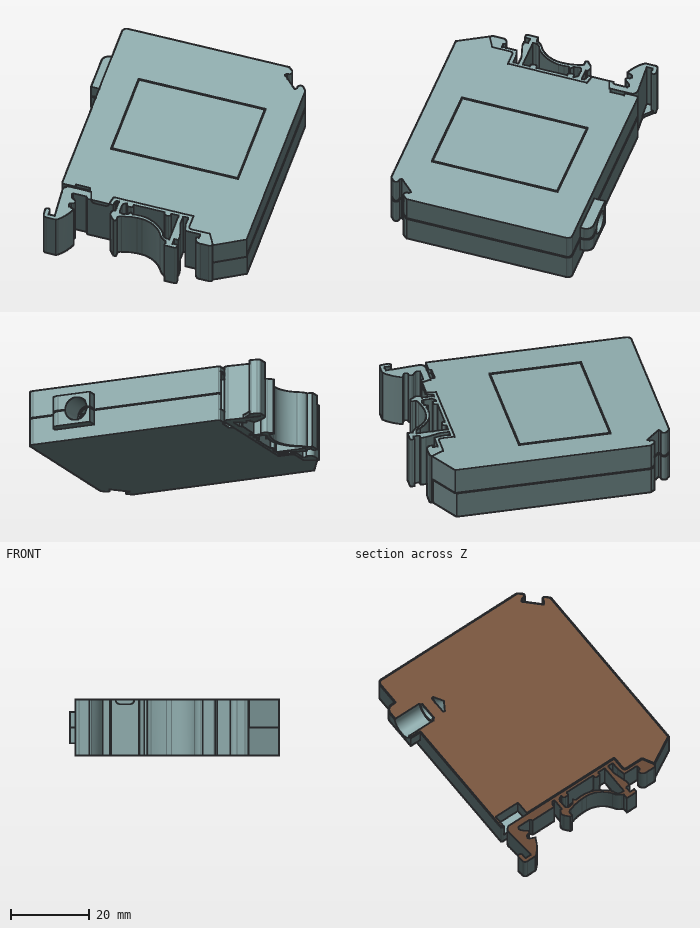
import cadquery as cq
import math


height = 65.6
depth = 14.35
mid_z = depth / 2
housing_width = 50.6
housing_bottom_y = 11.9
seat_y = 11.4
top_corner_radius = 1.25
bottom_corner_radius = 0.4

step_x = 35.35
step_y = 7.1
step_radius = 0.8
ramp_top_x = 41.05
tip_x = 42.9
tip_y = 3.7
slope_top_y = 8.0
ramp_slope = (step_y - tip_y) / (tip_x - ramp_top_x)
lower_slope_inset = 0.3

slot_left_x = 3.6
slot_right_x = 7.55
slot_roof_y = 12.6
slot_end_radius = 0.5
pocket_left_x = 0.85
pocket_right_x = 7.8
pocket_bottom_z = 3.1
pocket_top_z = 13.25
pocket_end_y = 15.4

tongue_top_left_x = 8.0
tongue_bottom_left_x = 8.8
tongue_bottom_right_x = 13.5
tongue_top_right_x = 14.05
tongue_bottom_y = 8.9
tongue_depth = 1.2
tongue_radius = 1.05

hook_top = (44.35, height)
hook_shoulder = (45.25, 64.8)
hook_nose = (45.6, 63.9)
hook_underside = (44.95, 63.3)
hook_throat = (44.55, 63.3)
hook_root = (44.0, 62.85)

boss_length = 2.95
boss_bottom_y = 47.05
boss_top_y = 58.05
boss_thickness = 8.0
boss_radius = 2.05
hole_y = 50.9
hole_diameter = 6.05
hole_depth = 7.9
inner_diameter = 5.0
inner_depth = 3.95
drill_point_angle = 118.0
bar_diameter = 3.0

groove_width = 0.2
groove_depth = 0.2
frame_left_x = 8.65
frame_right_x = 42.65
frame_bottom_y = 26.6
frame_top_y = 50.65

roof_y = 10.5

arm_left_x = 0.65
arm_corner_radius = 1.45
arm_shelf_y = 9.6
hook_wall_x = 1.4
hook_slot_left_x = -0.25
hook_slot_floor_y = 1.15
hook_lip_y = 3.0
hook_lip_base_y = 2.35
hook_lip_left_x = -1.6
hook_heel_x = -1.4
hook_heel_radius = 0.85
hook_toe = (2.05, 0)
hook_tooth = (5.45, 4.6)
web_top_y = 5.7
web_low = (-1.05, 2.95)
web_height = 0.9

block_left_x = 7.7
block_right_x = 14.6
block_flare = 0.2
block_round = 0.45

post_left_x = 15.75
post_right_x = 16.85
post_shoulder_y = 7.35
strut_left_x = 31.7
strut_right_x = 32.85
toe_left_x = 31.0
toe_right_x = 34.25
toe_top_y = 1.15
toe_radius = 0.4
barb_tip_y = 4.1
barb_tip_left_x = 16.15
barb_tip_right_x = 16.5
arch_left_bottom_y = 5.4
arch_left_top_y = 7.5
arch_right_bottom_y = 1.4
arch_right_top_y = 2.3
crown_left_x = 21.65
crown_right_x = 23.0
crown_bottom_y = 6.6
crown_top_y = 7.55
tooth = [(18.95, 6.95), (19.75, 8.0), (20.5, 7.2)]
wedge_bottom_y = 2.75
wedge_tip_x = 34.0
wedge_tip_y = 4.1
wedge_top_y = 8.0

stop_left_xs = [18.0, 28.0]
stop_width = 1.7
stop_bottom_y = 9.6
stop_radius = 0.5

leg_left_x = 34.25
leg_bottom_left_x = 34.7
leg_knee_y = 8.45
claw_shelf_y = 6.15
claw_neck_x = 38.8
claw_nose = (38.1, 5.0)
claw_left_x = 39.7
claw_right_x = 41.8
claw_tip_x = 42.7
claw_tip_y = 3.6
claw_bottom_y = 3.2


def extrude(outline, thickness=depth):
    return outline.close().extrude(thickness)


def polygon(points, thickness=depth):
    return extrude(cq.Workplane("XY").polyline(points), thickness)


def rectangle_between(left, bottom, right, top, z, thickness):
    """Box with its lower left corner at (left, bottom) and its underside at z."""
    block = cq.Workplane("XY").box(right - left, top - bottom, thickness, centered=False)
    return block.translate((left, bottom, z))


def round_corner(body, x, y, radius):
    """Fillet the upright edge at (x, y)."""
    corner = cq.selectors.NearestToPointSelector((x, y, mid_z))
    return body.edges("|Z").edges(corner).fillet(radius)


def across_corner(point):
    """Mirror a point about the diagonal of the top right corner."""
    shift = height - housing_width
    x, y = point
    return (y - shift, x + shift)


def housing_plate(slope_inset, thickness):
    """Housing outline without the tongue, its slope set back by slope_inset."""
    slope_angle = math.atan2(slope_top_y - tip_y, housing_width - tip_x)
    rise = slope_inset / math.cos(slope_angle)
    shift_x = rise / (ramp_slope + math.tan(slope_angle))
    tip = (tip_x - shift_x, tip_y + ramp_slope * shift_x)
    return extrude(
        cq.Workplane("XY")
        .moveTo(0, housing_bottom_y)
        .lineTo(slot_left_x, housing_bottom_y)
        .lineTo(slot_left_x, slot_roof_y)
        .lineTo(slot_right_x, slot_roof_y)
        .lineTo(slot_right_x, seat_y)
        .lineTo(step_x, seat_y)
        .lineTo(step_x, step_y)
        .lineTo(ramp_top_x, step_y)
        .lineTo(*tip)
        .lineTo(housing_width, slope_top_y + rise)
        .lineTo(*across_corner(hook_top))
        .lineTo(*across_corner(hook_shoulder))
        .threePointArc(across_corner(hook_nose), across_corner(hook_underside))
        .lineTo(*across_corner(hook_throat))
        .lineTo(*across_corner(hook_root))
        .lineTo(*hook_root)
        .lineTo(*hook_throat)
        .lineTo(*hook_underside)
        .threePointArc(hook_nose, hook_shoulder)
        .lineTo(*hook_top)
        .lineTo(0, height),
        thickness,
    )


def housing_shell():
    lower = housing_plate(lower_slope_inset, mid_z)
    upper = housing_plate(0, depth - mid_z).translate((0, 0, mid_z))
    shell = lower.union(upper)
    shell = round_corner(shell, 0, height, top_corner_radius)
    shell = round_corner(shell, 0, housing_bottom_y, bottom_corner_radius)
    shell = round_corner(shell, slot_left_x, housing_bottom_y, bottom_corner_radius)
    shell = round_corner(shell, slot_right_x, slot_roof_y, slot_end_radius)
    return round_corner(shell, step_x, step_y, step_radius)


def tongue():
    """Tapered tongue at the top face, its two long lower edges rounded."""
    block = polygon(
        [
            (tongue_top_left_x, seat_y),
            (tongue_bottom_left_x, tongue_bottom_y),
            (tongue_bottom_right_x, tongue_bottom_y),
            (tongue_top_right_x, seat_y),
        ],
        tongue_depth,
    )
    block = block.edges("<Z").edges("not |X").fillet(tongue_radius)
    return block.translate((0, 0, depth - tongue_depth))


def boss():
    """Block on the left wall, sunk into it by its own length to join the housing."""
    block = rectangle_between(
        -boss_length, boss_bottom_y, boss_length, boss_top_y, mid_z - boss_thickness / 2, boss_thickness
    )
    return round_corner(block, -boss_length, boss_top_y, boss_radius)


def terminal_hole():
    """Stepped hole along X with a drill point, minus the bar that stays across it."""
    hole_radius = hole_diameter / 2
    inner_radius = inner_diameter / 2
    cone_at = hole_depth + inner_depth
    point_length = inner_radius / math.tan(math.radians(drill_point_angle / 2))
    drill = (
        cq.Workplane("XY")
        .polyline(
            [
                (0, 0),
                (0, hole_radius),
                (hole_depth, hole_radius),
                (hole_depth, inner_radius),
                (cone_at, inner_radius),
                (cone_at + point_length, 0),
            ]
        )
        .close()
        .revolve(360, (0, 0), (1, 0))
    )
    bar = (
        cq.Workplane("XZ")
        .center(hole_depth + inner_depth / 2, 0)
        .circle(bar_diameter / 2)
        .extrude(hole_radius, both=True)
    )
    return drill.cut(bar).translate((-boss_length, hole_y, mid_z))


def label_frame():
    """Rectangular groove in the top face."""
    floor_z = depth - groove_depth
    outer = rectangle_between(
        frame_left_x, frame_bottom_y, frame_right_x, frame_top_y, floor_z, groove_depth
    )
    inner = rectangle_between(
        frame_left_x + groove_width,
        frame_bottom_y + groove_width,
        frame_right_x - groove_width,
        frame_top_y - groove_width,
        floor_z,
        groove_depth,
    )
    return outer.cut(inner)


def seam_groove(body):
    """Shallow groove at mid height, following the outline of the body."""
    band_z = mid_z - groove_width / 2
    slab = rectangle_between(-boss_length, 0, housing_width, height, band_z, groove_width)
    band = body.intersect(slab)
    inset_outline = band.faces("<Z").wires().val().offset2D(-groove_depth)[0]
    core = cq.Solid.extrudeLinear(inset_outline, [], cq.Vector(0, 0, groove_width))
    return band.cut(cq.Workplane(core))


def slot_pocket():
    """Pocket behind the slot, open on the housing's lower edge."""
    return rectangle_between(
        pocket_left_x, seat_y, pocket_right_x, pocket_end_y, pocket_bottom_z, pocket_top_z - pocket_bottom_z
    )


def make_housing():
    body = housing_shell().union(boss())
    body = body.cut(seam_groove(body)).union(tongue())
    return body.cut(terminal_hole()).cut(label_frame()).cut(slot_pocket())


def hook_arm():
    """Left arm: a shelf, a drafted wall and the toothed hook with its slot."""
    arm = extrude(
        cq.Workplane("XY")
        .moveTo(block_left_x, seat_y)
        .lineTo(arm_left_x, seat_y)
        .lineTo(hook_wall_x, hook_slot_floor_y)
        .lineTo(hook_slot_left_x, hook_slot_floor_y)
        .lineTo(hook_slot_left_x, hook_lip_base_y)
        .threePointArc((-0.9, hook_lip_y), (hook_lip_left_x, hook_lip_base_y))
        .lineTo(hook_heel_x, 0)
        .lineTo(*hook_toe)
        .lineTo(2.5, 0.25)
        .threePointArc((4.4, 2.5), hook_tooth)
        .lineTo(4.1, 5.2)
        .threePointArc((3.8, 5.8), (4.2, 6.35))
        .lineTo(4.7, 6.4)
        .threePointArc((5.1, 7.0), (4.8, 7.55))
        .lineTo(3.8, 8.3)
        .threePointArc((3.55, 8.9), (3.75, arm_shelf_y))
        .lineTo(7.2, arm_shelf_y)
        .lineTo(block_left_x, 9.1)
    )
    arm = round_corner(arm, arm_left_x, seat_y, arm_corner_radius)
    return round_corner(arm, hook_heel_x, 0, hook_heel_radius)


def hook_web():
    """Thin sloping web at the underside that closes the hook's slot."""
    return extrude(
        cq.Workplane("XY")
        .moveTo(1.05, web_top_y)
        .threePointArc((0.9, 5.3), (0.65, 4.9))
        .lineTo(*web_low)
        .lineTo(hook_slot_left_x, hook_slot_floor_y)
        .lineTo(hook_wall_x, hook_slot_floor_y),
        web_height,
    )


def tongue_block():
    return polygon(
        [
            (block_left_x, seat_y),
            (block_left_x, tongue_bottom_y),
            (block_right_x, tongue_bottom_y),
            (block_right_x + block_flare, roof_y - block_round),
            (block_right_x + block_round, roof_y),
            (block_right_x + block_round, seat_y),
        ]
    )


def plate():
    return rectangle_between(block_right_x, roof_y, step_x, seat_y, 0, depth)


def post():
    """Post with a barbed end."""
    return extrude(
        cq.Workplane("XY")
        .moveTo(post_left_x, seat_y)
        .lineTo(post_left_x, post_shoulder_y)
        .lineTo(15.35, post_shoulder_y)
        .threePointArc((14.8, 6.4), (15.0, 5.45))
        .lineTo(barb_tip_left_x, barb_tip_y)
        .lineTo(barb_tip_right_x, barb_tip_y)
        .threePointArc((16.8, 4.25), (post_right_x, 4.5))
        .lineTo(post_right_x, 9.45)
        .threePointArc((17.1, 10.05), (17.7, roof_y - 0.1))
        .lineTo(18.0, seat_y)
    )


def arch():
    """Thin curved spring from the post to the strut, with a small tooth on its crown."""
    spring = extrude(
        cq.Workplane("XY")
        .moveTo(post_right_x, arch_left_bottom_y)
        .threePointArc((17.2, 5.7), (17.8, 5.9))
        .threePointArc((19.7, 6.395), (crown_left_x, crown_bottom_y))
        .lineTo(crown_right_x, crown_bottom_y)
        .threePointArc((26.4, 5.65), (28.85, 3.35))
        .threePointArc((29.6, 2.3), (30.6, 1.6))
        .lineTo(toe_left_x, arch_right_bottom_y)
        .lineTo(strut_left_x, arch_right_bottom_y)
        .lineTo(strut_left_x, arch_right_top_y)
        .lineTo(30.9, arch_right_top_y)
        .threePointArc((30.05, 2.75), (29.5, 3.75))
        .threePointArc((26.8, 6.2), (crown_right_x, crown_top_y))
        .lineTo(crown_left_x, crown_top_y)
        .threePointArc((19.7, 7.3), (18.05, 6.8))
        .threePointArc((17.25, 6.95), (post_right_x, arch_left_top_y))
    )
    return spring.union(polygon(tooth))


def strut():
    """Upright strut with a drafted wedge and a toe at its foot."""
    body = polygon(
        [
            (strut_left_x, seat_y),
            (strut_left_x, arch_right_bottom_y),
            (toe_left_x, arch_right_bottom_y),
            (toe_left_x, 0),
            (toe_right_x, 0),
            (toe_right_x, toe_top_y),
            (strut_right_x, toe_top_y),
            (strut_right_x, wedge_bottom_y),
            (wedge_tip_x, wedge_bottom_y),
            (wedge_tip_x, wedge_tip_y),
            (strut_right_x, wedge_top_y),
            (strut_right_x, seat_y),
        ]
    )
    return round_corner(body, toe_right_x, 0, toe_radius)


def stop(left):
    body = rectangle_between(left, stop_bottom_y, left + stop_width, seat_y, 0, depth)
    body = round_corner(body, left, stop_bottom_y, stop_radius)
    return round_corner(body, left + stop_width, stop_bottom_y, stop_radius)


def claw():
    """Right leg that follows the housing's step and ends in a claw."""
    body = extrude(
        cq.Workplane("XY")
        .moveTo(leg_left_x, seat_y)
        .lineTo(leg_left_x, leg_knee_y)
        .lineTo(leg_bottom_left_x, claw_shelf_y)
        .lineTo(claw_neck_x, claw_shelf_y)
        .lineTo(claw_neck_x, claw_nose[1])
        .lineTo(*claw_nose)
        .threePointArc((38.5, 3.6), (claw_left_x, claw_bottom_y))
        .lineTo(claw_right_x, claw_bottom_y)
        .threePointArc((42.3, 3.3), (claw_tip_x, claw_tip_y))
        .lineTo(claw_tip_x, tip_y + ramp_slope * (tip_x - claw_tip_x))
        .lineTo(ramp_top_x, step_y)
        .lineTo(step_x, step_y)
        .lineTo(step_x, seat_y)
    )
    return round_corner(body, step_x, step_y, step_radius)


def make_foot(housing):
    body = hook_arm()
    for part in [hook_web(), tongue_block(), plate(), post(), arch(), strut(), claw()]:
        body = body.union(part)
    for left in stop_left_xs:
        body = body.union(stop(left))
    return body.cut(housing)


housing = make_housing()
foot = make_foot(housing)

result = cq.Compound.makeCompound([housing.solids().val(), foot.solids().val()])